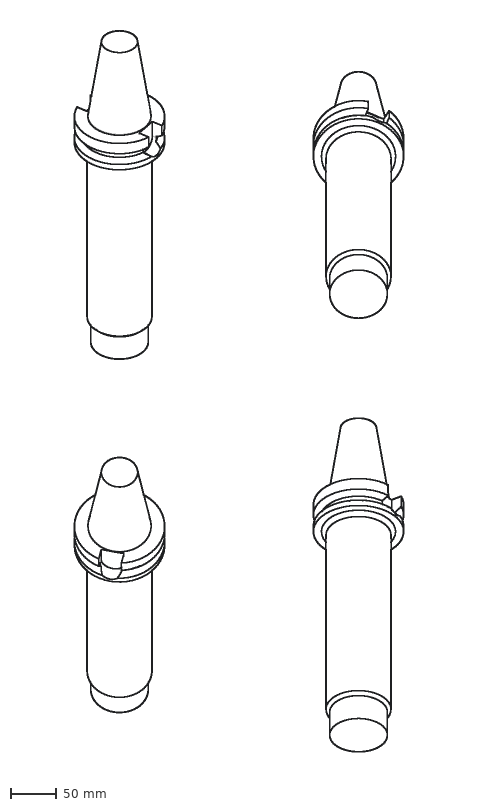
import cadquery as cq
import math


gauge_diameter = 69.85
taper_length = 101.8
taper_ratio = 7 / 24
taper_tip_diameter = gauge_diameter - taper_length * taper_ratio

flange_diameter = 100.0
flange_top_z = -1.5
flange_bottom_z = -38.0
groove_floor_diameter = 85.0
groove_floor_width = 6.3
groove_center_z = -23.2
groove_flank_angle = 30.0
groove_depth = (flange_diameter - groove_floor_diameter) / 2
groove_flank_rise = groove_depth * math.tan(math.radians(groove_flank_angle))
groove_half_floor = groove_floor_width / 2
groove_half_mouth = groove_half_floor + groove_flank_rise

body_diameter = 72.0
nose_diameter = 64.0
overall_length = 415.8
nose_bottom_z = taper_length - overall_length
nose_length = 31.0
nose_top_z = nose_bottom_z + nose_length
shoulder_chamfer = (body_diameter - nose_diameter) / 2

collar_height = 5.0
collar_diameter = body_diameter + 2 * collar_height

slot_width = 25.7
slot_depth = 32.5
slot_floor_distance = 35.4


def make_revolved_body():
    """Taper, flange, collar, body and nose as one turned solid."""
    profile = [
        (0, nose_bottom_z),
        (nose_diameter / 2, nose_bottom_z),
        (nose_diameter / 2, nose_top_z),
        (body_diameter / 2, nose_top_z + shoulder_chamfer),
        (body_diameter / 2, flange_bottom_z - collar_height),
        (collar_diameter / 2, flange_bottom_z),
        (flange_diameter / 2, flange_bottom_z),
        (flange_diameter / 2, groove_center_z - groove_half_mouth),
        (groove_floor_diameter / 2, groove_center_z - groove_half_floor),
        (groove_floor_diameter / 2, groove_center_z + groove_half_floor),
        (flange_diameter / 2, groove_center_z + groove_half_mouth),
        (flange_diameter / 2, flange_top_z),
        (gauge_diameter / 2, flange_top_z),
        (gauge_diameter / 2, 0),
        (taper_tip_diameter / 2, taper_length),
        (0, taper_length),
    ]
    return cq.Workplane("XZ").polyline(profile).close().revolve(360, (0, 0, 0), (0, 1, 0))


def make_drive_slot(side):
    """Round-ended slot cutter, open at the flange top; side is -1 or +1 along X."""
    half_width = slot_width / 2
    slot_bottom_z = flange_top_z - slot_depth
    arc_center_z = slot_bottom_z + half_width
    reach = side * (flange_diameter / 2 - slot_floor_distance)
    return (
        cq.Workplane("YZ", origin=(side * slot_floor_distance, 0, 0))
        .moveTo(-half_width, flange_top_z)
        .lineTo(-half_width, arc_center_z)
        .threePointArc((0, slot_bottom_z), (half_width, arc_center_z))
        .lineTo(half_width, flange_top_z)
        .close()
        .extrude(reach)
    )


result = make_revolved_body()
for side in (-1, 1):
    result = result.cut(make_drive_slot(side))